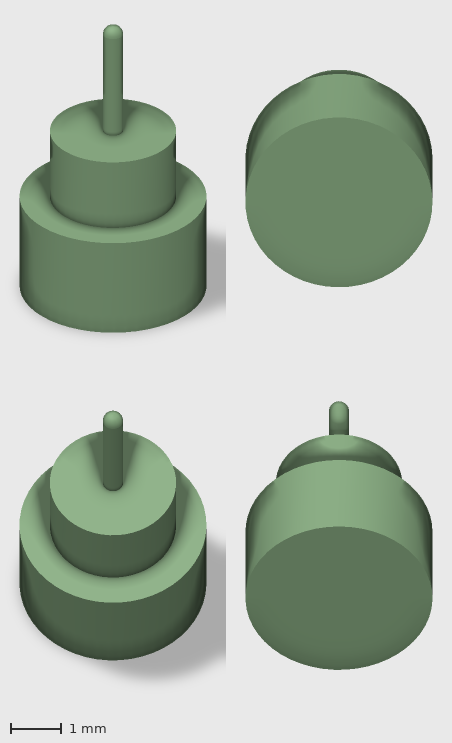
import cadquery as cq
import math

base_diameter = 3.7
collar_diameter = 2.5
insert_diameter = 1.95
pin_diameter = 0.4

base_height = 2.05
collar_height = 1.5
overall_height = 5.95

tip_round = 0.19

base_radius = base_diameter / 2
collar_radius = collar_diameter / 2
insert_radius = insert_diameter / 2
pin_radius = pin_diameter / 2
collar_top = base_height + collar_height
tip_flat_radius = pin_radius - tip_round
round_start = overall_height - tip_round
round_mid_offset = tip_round * math.sin(math.radians(45))


def half_profile():
    """Half section of the stepped body and round-ended pin, on the -X side of the Z axis."""
    return (
        cq.Workplane("XZ")
        .moveTo(0, 0)
        .lineTo(-base_radius, 0)
        .lineTo(-base_radius, base_height)
        .lineTo(-collar_radius, base_height)
        .lineTo(-collar_radius, collar_top)
        .lineTo(-insert_radius, collar_top)
        .lineTo(-pin_radius, collar_top)
        .lineTo(-pin_radius, round_start)
        .threePointArc(
            (-tip_flat_radius - round_mid_offset, round_start + round_mid_offset),
            (-tip_flat_radius, overall_height),
        )
        .lineTo(0, overall_height)
        .close()
    )


result = half_profile().revolve(360, (0, 0, 0), (0, 1, 0), clean=False)